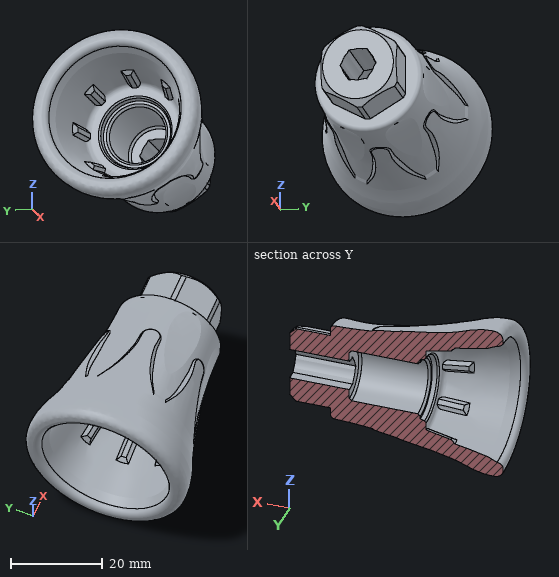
import cadquery as cq
import math


GRIP_LENGTH = 40.5
RIM_RADIUS = 19.0
RIM_X = 2.65
MOUTH_EDGE_RADIUS = 16.6
RIM_START = (0, MOUTH_EDGE_RADIUS)
BELL_ARC_ENDS = [(4.9, 18.82), (8.0, 17.95), (12.3, 16.47)]
COLLAR_END = BELL_ARC_ENDS[-1]
STEP_START = (13.3, 16.17)
STEP_END = (14.1, 15.7)
STEP_OVERLAP = 0.5
BASE_START = (12.3, 16.15)
BASE_POINTS = [STEP_END, (18.4, 14.63), (21.6, 13.9), (26.0, 13.25), (31.2, 12.7), (35.0, 12.4)]
TAIL_RADIUS = 12.2
TAIL_FILLET = 1.0

PATTERN_COUNT = 6
TONGUE_SURFACE = [STEP_START, (18.4, 15.17), (22.0, 14.55), (25.7, 13.9), (32.0, 12.65)]
TONGUE_TIP_X = 30.5
TONGUE_HALF_WIDTH = 1.8
TONGUE_NOSE_START = 25.7
TONGUE_FLANK_MID = (19.5, 3.05)
TONGUE_FLANK_START = (12.9, 5.75)
TONGUE_WALL_TAPER = 38
TONGUE_SKETCH_RADIUS = 13.1
TONGUE_DEPTH = 3.5
DIMPLE_CURVE = [
    (21.5, 13.92), (25.4, 13.1), (29.8, 12.38), (32.7, 12.0), (35.7, 11.85), (37.8, 11.97), (39.2, 12.2)
]
DIMPLE_CUTTER_HALF_LENGTH = 6.0

LIP_RADIUS = 1.5
CONE_START = (3.6, 14.1)
CONE_END = (17.0, 11.2)
FLOOR_RADIUS = 9.9
RECESS_RADIUS = 8.4
RECESS_STEP_RADIUS = 8.0
RECESS_STEP_DEPTH = 0.4
RECESS_FLOOR_RADIUS = 7.65
RECESS_DEPTH = 1.4
COUNTERSINK_RADIUS = 7.0
BORE_RADIUS = 6.45
SEAT_RADIUS = 5.91
SEAT_X = 36.0

RIB_COUNT = 8
RIB_HALF_SECTION = [(1.6, 0), (1.05, 0.35), (0.6, 0.72)]
RIB_ROOT_DEPTH = 0.5
RIB_FRONT_X = 11.3
RIB_FRONT_ANGLE = 45

TOTAL_LENGTH = 50.0
NUT_FLATS = 17.0
NUT_CORNER_RADIUS = 9.5
NUT_END_RADIUS = 8.0
HEX_SOCKET_FLATS = 7.0
DRILL_DIAMETER = 7.3

CONE_ANGLE = math.atan2(CONE_START[1] - CONE_END[1], CONE_END[0] - CONE_START[0])
FLOOR_FILLET = (CONE_END[1] - FLOOR_RADIUS) / math.cos(CONE_ANGLE)
FLOOR_X = CONE_END[0] + FLOOR_FILLET * (1 - math.sin(CONE_ANGLE))


def revolve_x(profile):
    return profile.close().revolve(360, (0, 0, 0), (1, 0, 0))


def around_axis(shape, count):
    """Copies of shape spread evenly about the X axis."""
    return [shape.val().rotate(cq.Vector(), cq.Vector(1, 0, 0), i * 360 / count) for i in range(count)]


def hexagonal_prism(flats):
    """Hexagon over the full length, with corners on the Y axis."""
    return cq.Workplane("YZ").polygon(6, flats / math.cos(math.pi / 6)).extrude(TOTAL_LENGTH)


def make_grip_base():
    """Turned body with the recessed surface between the tongues."""
    profile = cq.Workplane("XY").lineTo(*RIM_START)
    profile = profile.spline([(RIM_X, RIM_RADIUS)], tangents=[(0, 1), (1, 0)], includeCurrent=True)
    for point in BELL_ARC_ENDS:
        profile = profile.tangentArcPoint(point, relative=False)
    profile = (
        profile.lineTo(*BASE_START)
        .spline(BASE_POINTS + [(GRIP_LENGTH - TAIL_FILLET, TAIL_RADIUS)], includeCurrent=True)
        .radiusArc((GRIP_LENGTH, TAIL_RADIUS - TAIL_FILLET), TAIL_FILLET)
        .lineTo(GRIP_LENGTH, 0)
    )
    return revolve_x(profile)


def make_raised_skin():
    """Turned body bounded by the raised surface of the collar and the tongues."""
    profile = (
        cq.Workplane("XY")
        .moveTo(COLLAR_END[0], 0)
        .lineTo(*COLLAR_END)
        .spline(TONGUE_SURFACE, includeCurrent=True)
        .lineTo(TONGUE_SURFACE[-1][0], 0)
    )
    return revolve_x(profile)


def make_collar_limit():
    """Turned body that ends at the sloped drop behind the collar."""
    slope = (STEP_END[0] - STEP_START[0]) / (STEP_START[1] - STEP_END[1])
    upper = (STEP_START[0] - slope * STEP_OVERLAP, STEP_START[1] + STEP_OVERLAP)
    lower = (STEP_END[0] + slope * STEP_OVERLAP, STEP_END[1] - STEP_OVERLAP)
    profile = (
        cq.Workplane("XY")
        .moveTo(COLLAR_END[0], 0)
        .lineTo(COLLAR_END[0], upper[1])
        .lineTo(*upper)
        .lineTo(*lower)
        .lineTo(lower[0], 0)
    )
    return revolve_x(profile)


def make_tongue_prism():
    """Prism with sloped walls over the tongue outline, drawn on a plane tilted along the surface."""
    tilt = math.atan2(STEP_START[1] - TONGUE_SKETCH_RADIUS, TONGUE_TIP_X - STEP_START[0])
    plane = cq.Plane(
        origin=(TONGUE_TIP_X, 0, TONGUE_SKETCH_RADIUS),
        xDir=(math.cos(tilt), 0, -math.sin(tilt)),
        normal=(math.sin(tilt), 0, math.cos(tilt)),
    )

    def local(x, y):
        return ((x - TONGUE_TIP_X) / math.cos(tilt), y)

    flank_x, flank_y = TONGUE_FLANK_START
    mid_x, mid_y = TONGUE_FLANK_MID
    half = TONGUE_HALF_WIDTH
    nose_x = TONGUE_TIP_X - half
    outline = (
        cq.Workplane(plane)
        .moveTo(*local(flank_x, -flank_y))
        .threePointArc(local(mid_x, -mid_y), local(TONGUE_NOSE_START, -half))
        .lineTo(*local(nose_x, -half))
        .threePointArc(local(TONGUE_TIP_X, 0), local(nose_x, half))
        .lineTo(*local(TONGUE_NOSE_START, half))
        .threePointArc(local(mid_x, mid_y), local(flank_x, flank_y))
        .close()
    )
    return outline.extrude(-TONGUE_DEPTH, taper=-TONGUE_WALL_TAPER)


def make_dimple_cutter():
    """Cutter on the -Y side, flat along the tangent and hollow along the axis."""
    first, last = DIMPLE_CURVE[0], DIMPLE_CURVE[-1]
    clearance = RIM_RADIUS
    return (
        cq.Workplane("XY", origin=(0, 0, -DIMPLE_CUTTER_HALF_LENGTH))
        .moveTo(first[0], -first[1])
        .spline([(x, -radius) for x, radius in DIMPLE_CURVE[1:]], includeCurrent=True)
        .lineTo(last[0], -clearance)
        .lineTo(first[0], -clearance)
        .close()
        .extrude(2 * DIMPLE_CUTTER_HALF_LENGTH)
    )


def make_nut():
    """Hexagon with corners up and down, its edges turned off and its end chamfered."""
    prism = hexagonal_prism(NUT_FLATS).rotate((0, 0, 0), (1, 0, 0), 90)
    turned = (
        cq.Workplane("XY")
        .moveTo(SEAT_X, 0)
        .lineTo(SEAT_X, NUT_CORNER_RADIUS)
        .lineTo(TOTAL_LENGTH - (NUT_CORNER_RADIUS - NUT_END_RADIUS), NUT_CORNER_RADIUS)
        .lineTo(TOTAL_LENGTH, NUT_END_RADIUS)
        .lineTo(TOTAL_LENGTH, 0)
    )
    return prism.intersect(revolve_x(turned))


def make_cavity():
    recess_floor_x = FLOOR_X + RECESS_DEPTH
    profile = (
        cq.Workplane("XY")
        .lineTo(*RIM_START)
        .radiusArc((LIP_RADIUS, MOUTH_EDGE_RADIUS - LIP_RADIUS), -LIP_RADIUS)
        .lineTo(*CONE_START)
        .lineTo(*CONE_END)
        .radiusArc((FLOOR_X, FLOOR_RADIUS), FLOOR_FILLET)
        .lineTo(FLOOR_X, RECESS_RADIUS)
        .lineTo(FLOOR_X + RECESS_STEP_DEPTH, RECESS_STEP_RADIUS)
        .lineTo(recess_floor_x, RECESS_FLOOR_RADIUS)
        .lineTo(recess_floor_x, COUNTERSINK_RADIUS)
        .lineTo(recess_floor_x + COUNTERSINK_RADIUS - BORE_RADIUS, BORE_RADIUS)
        .lineTo(SEAT_X - (BORE_RADIUS - SEAT_RADIUS), BORE_RADIUS)
        .lineTo(SEAT_X, SEAT_RADIUS)
        .lineTo(SEAT_X, 0)
    )
    return revolve_x(profile)


def make_rib():
    """Chamfered rib along the cone wall on the +Z side, from a sloped front to the floor."""
    axis = (math.cos(CONE_ANGLE), 0, -math.sin(CONE_ANGLE))
    plane = cq.Plane(origin=(CONE_START[0], 0, CONE_START[1]), xDir=(0, 1, 0), normal=axis)
    root_half_width = RIB_HALF_SECTION[0][0]
    right = [(root_half_width, -RIB_ROOT_DEPTH)] + RIB_HALF_SECTION
    left = [(-half_width, height) for half_width, height in reversed(right)]
    outline = [(half_width, -height) for half_width, height in right + left]
    bar = cq.Workplane(plane).polyline(outline).close().extrude(TOTAL_LENGTH)

    front_radius = CONE_START[1] - (RIB_FRONT_X - CONE_START[0]) * math.tan(CONE_ANGLE)
    slope = math.tan(math.radians(RIB_FRONT_ANGLE))
    outer_radius = CONE_START[1]
    outer_x = RIB_FRONT_X - (outer_radius - front_radius) * slope
    inner_radius = BORE_RADIUS
    inner_x = RIB_FRONT_X + (front_radius - inner_radius) * slope
    reach = (
        cq.Workplane("XZ", origin=(0, root_half_width, 0))
        .moveTo(outer_x, outer_radius)
        .lineTo(inner_x, inner_radius)
        .lineTo(FLOOR_X + RIB_ROOT_DEPTH, inner_radius)
        .lineTo(FLOOR_X + RIB_ROOT_DEPTH, outer_radius)
        .close()
        .extrude(2 * root_half_width)
    )
    return bar.intersect(reach)


def make_hex_passage():
    drill = cq.Workplane("YZ").circle(DRILL_DIAMETER / 2).extrude(TOTAL_LENGTH)
    return hexagonal_prism(HEX_SOCKET_FLATS).union(drill)


raised_limit = make_collar_limit().val().fuse(*around_axis(make_tongue_prism(), PATTERN_COUNT))
raised_surface = make_raised_skin().val().intersect(raised_limit)
grip = make_grip_base().val().fuse(raised_surface)
grip = grip.cut(*around_axis(make_dimple_cutter(), PATTERN_COUNT))

hollow = make_cavity().val().cut(*around_axis(make_rib(), RIB_COUNT))
hollow = hollow.fuse(make_hex_passage().val())
body = grip.fuse(make_nut().val()).cut(hollow).clean()
result = cq.Workplane(body.Solids()[0])